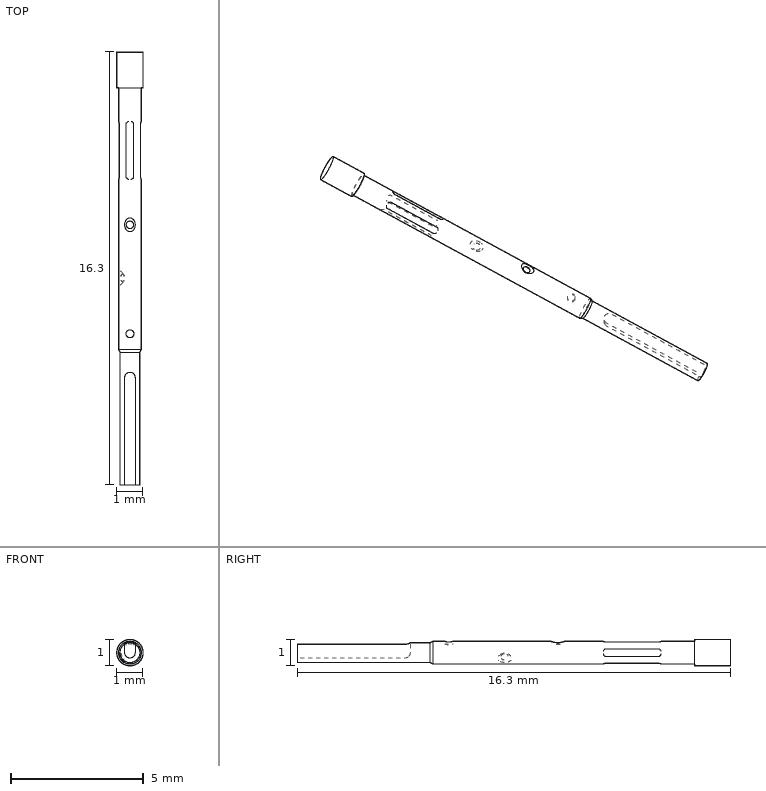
import cadquery as cq

total_length = 16.3
head_diameter = 1.0
head_length = 1.35
body_diameter = 0.86
tail_diameter = 0.75
tail_length = 5.0
shoulder_length = 0.1

cup_width = 0.4
cup_length = 4.25

recess_count = 4
recess_width = 0.28
recess_length = 2.2
recess_depth = 0.03
recess_ramp_length = 0.1
recess_distance = 2.6

dimple_diameter = 0.52
dimple_floor_diameter = 0.28
dimple_depth = 0.1
dimple_distance = 6.5
dimple_pitch = 2.0
dimple_count = 2
dimple_turn = -120

spot_diameter = 0.3
spot_depth = 0.1
spot_distance = 10.6

head_radius = head_diameter / 2
body_radius = body_diameter / 2
tail_radius = tail_diameter / 2
cup_radius = cup_width / 2
head_face = total_length / 2
head_end = head_face - head_length
tail_tip = -total_length / 2
tail_start = tail_tip + tail_length


def turned_pin():
    """Head, body, shoulder and tail turned about the Y axis."""
    return (
        cq.Workplane("YZ")
        .moveTo(tail_tip, 0)
        .lineTo(tail_tip, tail_radius)
        .lineTo(tail_start, tail_radius)
        .lineTo(tail_start + shoulder_length, body_radius)
        .lineTo(head_end, body_radius)
        .lineTo(head_end, head_radius)
        .lineTo(head_face, head_radius)
        .lineTo(head_face, 0)
        .close()
        .revolve(360, (0, 0, 0), (1, 0, 0))
    )


def solder_cup():
    """Blind bore with a ball end, cut open to +Z along its whole length."""
    ball_center = tail_tip + cup_length - cup_radius
    bore_length = ball_center - tail_tip
    bore = cq.Workplane("XZ", origin=(0, ball_center, 0)).circle(cup_radius).extrude(bore_length)
    ball = cq.Workplane("XY", origin=(0, ball_center, 0)).sphere(cup_radius)
    round_end = cq.Workplane("XY", origin=(0, ball_center, 0)).circle(cup_radius).extrude(body_radius)
    slot = cq.Workplane("XY").box(cup_width, bore_length, body_radius, centered=(True, False, False))
    slot = slot.translate((0, tail_tip, 0))
    return bore.union(ball).union(round_end).union(slot)


def body_recess():
    """Cutter for the recess on the +Z side of the body."""
    top = head_face - recess_distance
    bottom = top - recess_length
    floor_height = body_radius - recess_depth
    ramp_top = body_radius + recess_depth
    return (
        cq.Workplane("YZ")
        .moveTo(bottom - recess_ramp_length, ramp_top)
        .lineTo(bottom + recess_ramp_length, floor_height)
        .lineTo(top - recess_ramp_length, floor_height)
        .lineTo(top + recess_ramp_length, ramp_top)
        .close()
        .extrude(recess_width / 2, both=True)
    )


def body_core(depth):
    """Cylinder that lies the given depth below the body surface."""
    return cq.Workplane("XZ").circle(body_radius - depth).extrude(total_length / 2, both=True)


def dimple():
    """Conical dimple on the +Z side at Y = 0, with a floor concentric to the body."""
    rim_radius = dimple_diameter / 2
    floor_radius = dimple_floor_diameter / 2
    floor_height = body_radius - dimple_depth
    cone = (
        cq.Workplane("XZ")
        .lineTo(floor_radius, 0)
        .lineTo(floor_radius, floor_height)
        .lineTo(rim_radius, body_radius)
        .lineTo(0, body_radius)
        .close()
        .revolve(360, (0, 0, 0), (0, 1, 0))
    )
    return cone.cut(body_core(dimple_depth))


def spot():
    """Round hole on the +Z side at Y = 0, with a floor concentric to the body."""
    return cq.Workplane("XY").circle(spot_diameter / 2).extrude(body_radius).cut(body_core(spot_depth))


def turned_about_axis(shape, angle):
    return shape.rotate((0, 0, 0), (0, 1, 0), angle)


result = turned_pin()

for index in range(recess_count):
    result = result.cut(turned_about_axis(body_recess(), index * 360 / recess_count))

for index in range(dimple_count):
    distance = dimple_distance + index * dimple_pitch
    placed_dimple = dimple().translate((0, head_face - distance, 0))
    result = result.cut(turned_about_axis(placed_dimple, index * dimple_turn))

result = result.cut(spot().translate((0, head_face - spot_distance, 0)))
result = result.cut(solder_cup())